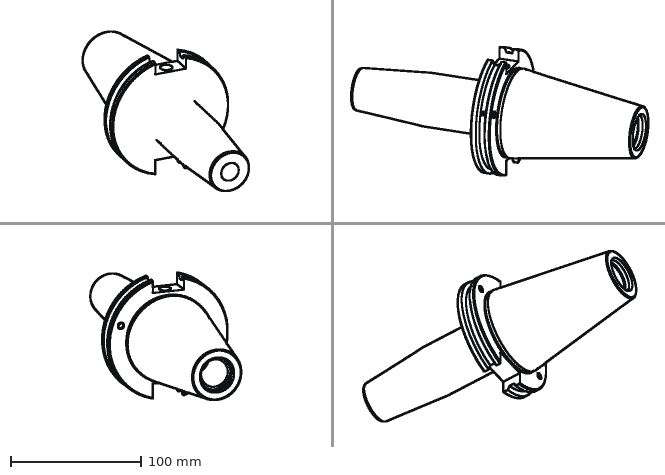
import cadquery as cq
import math

length = 231.5

gauge_radius = 35.0
gauge_x = 101.2
taper_rate = 7 / 24 / 2
small_end_radius = gauge_radius - gauge_x * taper_rate
end_chamfer = 0.7

relief_radius = 69.2 / 2
relief_start = 102.5
relief_end = 104.0

flange_radius = 49.0
flange_start = 104.7
flange_end = 120.5
flange_chamfer = 0.7
groove_x = 112.3
groove_floor_radius = 45.6
groove_floor_width = 4.2
groove_wall_angle = 25.0

neck_radius = 42.0 / 2
neck_fillet = 10.2
neck_end = 174.9
nose_radius = 16.7
nose_chamfer_length = 1.5
nose_chamfer_depth = 0.7

mouth_radius = 14.1
counterbore_radius = 26.2 / 2
mouth_depth = 2.3
counterbore_depth = 5.5
drawbar_radius = 22.0 / 2
drawbar_depth = 46.3
through_radius = 14.8 / 2
drill_point_angle = 118.0

slot_width = 25.7
upper_slot_floor = 37.8
lower_slot_floor = 35.2
dimple_radius = 9.5 / 2

coolant_pitch_radius = 41.7
coolant_angles = (20.0, 200.0)
coolant_radius = 4.2 / 2
coolant_mouth_radius = 5.0 / 2
outlet_radius = 3.2 / 2


def cone_depth(large_radius, small_radius=0.0):
    """Axial length of a drill-point cone between two radii."""
    return (large_radius - small_radius) / math.tan(math.radians(drill_point_angle / 2))


def make_body():
    groove_run = (flange_radius - groove_floor_radius) * math.tan(math.radians(groove_wall_angle))
    floor_half = groove_floor_width / 2
    top_half = floor_half + groove_run
    rim_radius = flange_radius - flange_chamfer
    arc_reach = neck_fillet * math.sqrt(0.5)
    arc_center = (flange_end + neck_fillet, neck_radius + neck_fillet)
    return (
        cq.Workplane("XY")
        .moveTo(0, 0)
        .lineTo(0, small_end_radius - end_chamfer)
        .lineTo(end_chamfer, small_end_radius + end_chamfer * taper_rate)
        .lineTo(gauge_x, gauge_radius)
        .lineTo(relief_start, relief_radius)
        .lineTo(relief_end, relief_radius)
        .lineTo(flange_start, gauge_radius)
        .lineTo(flange_start, rim_radius)
        .lineTo(flange_start + flange_chamfer, flange_radius)
        .lineTo(groove_x - top_half, flange_radius)
        .lineTo(groove_x - floor_half, groove_floor_radius)
        .lineTo(groove_x + floor_half, groove_floor_radius)
        .lineTo(groove_x + top_half, flange_radius)
        .lineTo(flange_end - flange_chamfer, flange_radius)
        .lineTo(flange_end, rim_radius)
        .lineTo(flange_end, arc_center[1])
        .threePointArc(
            (arc_center[0] - arc_reach, arc_center[1] - arc_reach),
            (arc_center[0], neck_radius),
        )
        .lineTo(neck_end, neck_radius)
        .lineTo(length - nose_chamfer_length, nose_radius)
        .lineTo(length, nose_radius - nose_chamfer_depth)
        .lineTo(length, 0)
        .close()
        .revolve(360, (0, 0, 0), (1, 0, 0))
    )


def make_bore():
    cone_end = drawbar_depth + cone_depth(drawbar_radius, through_radius)
    return (
        cq.Workplane("XY")
        .moveTo(0, 0)
        .lineTo(0, mouth_radius)
        .lineTo(mouth_depth, counterbore_radius)
        .lineTo(counterbore_depth, counterbore_radius)
        .lineTo(counterbore_depth, drawbar_radius)
        .lineTo(drawbar_depth, drawbar_radius)
        .lineTo(cone_end, through_radius)
        .lineTo(length, through_radius)
        .lineTo(length, 0)
        .close()
        .revolve(360, (0, 0, 0), (1, 0, 0))
    )


def make_slot(floor, side):
    """Slot above (side = 1) or below (side = -1) the axis."""
    depth = flange_radius - floor
    return cq.Workplane("XY").box(flange_end - flange_start, slot_width, depth).translate(
        ((flange_start + flange_end) / 2, 0, side * (floor + depth / 2))
    )


def make_dimple():
    """Drill-point dimple in the floor of the upper slot."""
    apex = cq.Vector(groove_x, 0, upper_slot_floor - cone_depth(dimple_radius))
    return cq.Solid.makeCone(0, dimple_radius, cone_depth(dimple_radius), apex, cq.Vector(0, 0, 1))


def make_coolant_hole(angle):
    """Countersunk axial hole and the radial outlet that meets it under the groove."""
    along_x = cq.Vector(1, 0, 0)
    outward = cq.Vector(0, math.cos(math.radians(angle)), math.sin(math.radians(angle)))
    mouth = cq.Vector(flange_start, 0, 0) + outward * coolant_pitch_radius
    bend = cq.Vector(groove_x, 0, 0) + outward * coolant_pitch_radius
    axial = cq.Solid.makeCylinder(coolant_radius, groove_x - flange_start, mouth, along_x)
    mouth_bevel = cq.Solid.makeCone(
        coolant_mouth_radius, coolant_radius, coolant_mouth_radius - coolant_radius, mouth, along_x
    )
    outlet = cq.Solid.makeCylinder(outlet_radius, flange_radius - coolant_pitch_radius, bend, outward)
    return cq.Workplane(axial).union(cq.Workplane(mouth_bevel)).union(cq.Workplane(outlet))


result = make_body().cut(make_bore())
result = result.cut(make_slot(upper_slot_floor, 1))
result = result.cut(make_slot(lower_slot_floor, -1))
result = result.cut(cq.Workplane(make_dimple()))
for hole_angle in coolant_angles:
    result = result.cut(make_coolant_hole(hole_angle))